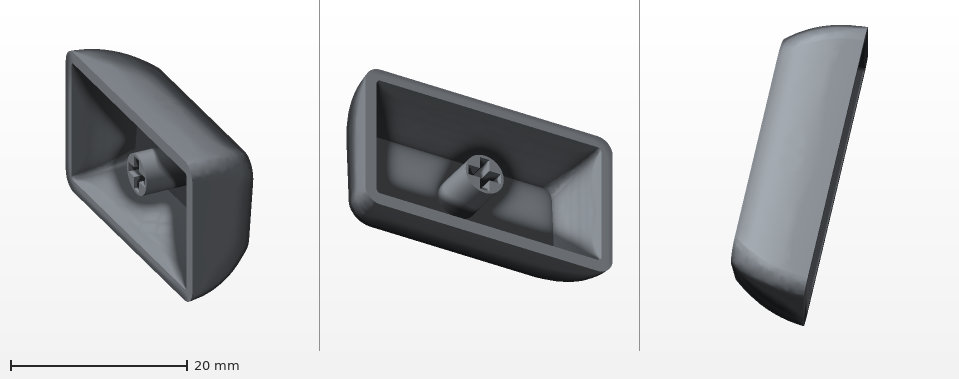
import cadquery as cq
import math

RIM_LENGTH = 32.4
RIM_HEIGHT = 18.1
RIM_CORNER_RADIUS = 2.0

CROWN_LENGTH = 26.8
CROWN_HEIGHT = 12.73
CROWN_CORNER_RADIUS = 2.7
CROWN_DEPTH = 8.85
TILT = 4.0

MIDDLE_POSITION = 0.5
MIDDLE_NARROWING = MIDDLE_POSITION ** 2

RIM_WALL = 1.5
MOUTH_LENGTH = RIM_LENGTH - 2 * RIM_WALL
MOUTH_HEIGHT = RIM_HEIGHT - 2 * RIM_WALL
MOUTH_CORNER_RADIUS = 0.5
FLOOR_LENGTH = 25.2
FLOOR_HEIGHT = 10.9
FLOOR_CORNER_RADIUS = 1.2
CROWN_WALL = 1.5
FLOOR_DEPTH = CROWN_DEPTH - CROWN_WALL

STEM_DIAMETER = 5.0
STEM_RECESS = 0.97
CROSS_SPAN = 4.2
CROSS_ARM_WIDTH = 1.25


def blend(start, end, fraction):
    return start + (end - start) * fraction


def section(depth, tilt, length, height, corner_radius):
    """Rounded rectangle wire at a distance from the rim, tilted about the X axis."""
    angle = math.radians(tilt)
    plane = cq.Plane(
        origin=(0, depth, 0),
        xDir=(1, 0, 0),
        normal=(0, math.cos(angle), -math.sin(angle)),
    )
    outline = cq.Sketch().rect(length, height).vertices().fillet(corner_radius).reset().faces()
    return outline.val().outerWire().moved(cq.Location(plane))


def make_outer_form():
    rim = section(0, 0, RIM_LENGTH, RIM_HEIGHT, RIM_CORNER_RADIUS)
    middle = section(
        CROWN_DEPTH * MIDDLE_POSITION,
        TILT * MIDDLE_POSITION,
        blend(RIM_LENGTH, CROWN_LENGTH, MIDDLE_NARROWING),
        blend(RIM_HEIGHT, CROWN_HEIGHT, MIDDLE_NARROWING),
        blend(RIM_CORNER_RADIUS, CROWN_CORNER_RADIUS, MIDDLE_NARROWING),
    )
    crown = section(CROWN_DEPTH, TILT, CROWN_LENGTH, CROWN_HEIGHT, CROWN_CORNER_RADIUS)
    return cq.Workplane(obj=cq.Solid.makeLoft([rim, middle, crown]))


def make_cavity():
    mouth = section(0, 0, MOUTH_LENGTH, MOUTH_HEIGHT, MOUTH_CORNER_RADIUS)
    middle = section(
        FLOOR_DEPTH * MIDDLE_POSITION,
        TILT * MIDDLE_POSITION,
        blend(MOUTH_LENGTH, FLOOR_LENGTH, MIDDLE_NARROWING),
        blend(MOUTH_HEIGHT, FLOOR_HEIGHT, MIDDLE_NARROWING),
        blend(MOUTH_CORNER_RADIUS, FLOOR_CORNER_RADIUS, MIDDLE_NARROWING),
    )
    floor = section(FLOOR_DEPTH, TILT, FLOOR_LENGTH, FLOOR_HEIGHT, FLOOR_CORNER_RADIUS)
    return cq.Workplane(obj=cq.Solid.makeLoft([mouth, middle, floor]))


def make_stem(cavity):
    """The stem is trimmed by the cavity so that it ends exactly on the tilted floor."""
    tip_plane = cq.Plane(origin=(0, STEM_RECESS, 0), xDir=(1, 0, 0), normal=(0, 1, 0))
    post = cq.Workplane(tip_plane).circle(STEM_DIAMETER / 2).extrude(CROWN_DEPTH)
    for arm_length, arm_height in ((CROSS_SPAN, CROSS_ARM_WIDTH), (CROSS_ARM_WIDTH, CROSS_SPAN)):
        post = post.cut(cq.Workplane(tip_plane).rect(arm_length, arm_height).extrude(CROWN_DEPTH))
    return post.intersect(cavity)


cavity = make_cavity()
shell = make_outer_form().cut(cavity)
stem = make_stem(cavity)

result = cq.Compound.makeCompound([shell.val(), stem.val()])